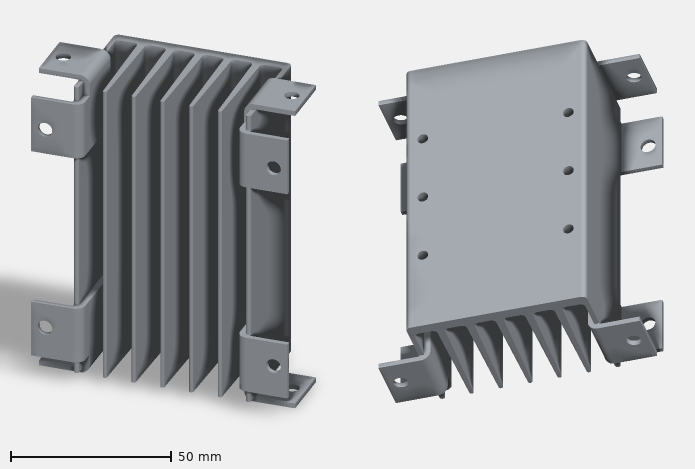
import cadquery as cq

overall_width = 85.3
overall_depth = 40.6
overall_height = 104.6

body_width = 58.9
body_depth = 38.2
body_height = 100.7
plate_thickness = 3.7
back_corner_radius = 1.7
wall_thickness = 1.7
fin_count = 5
fin_span = 38.3
fin_root_thickness = 2.6
fin_tip_thickness = 1.4
channel_radius = 1.6

plate_hole_diameter = 3.5
plate_hole_x = 23.8
plate_hole_pitch = 22.8

tab_thickness = 1.7
tab_width = 18.9
bend_radius = 3.1
bracket_root = 3.8
front_tab_inset = 6.9
end_tab_inset = 7.0
tab_hole_diameter = 4.8
tab_hole_edge = 4.6
front_hole_z = 34.8
end_hole_depth = 23.9

selection_margin = 0.1

fin_pitch = fin_span / (fin_count - 1)
half_width = overall_width / 2
half_height = overall_height / 2
back_y = overall_depth / 2
front_y = -overall_depth / 2
plate_y = back_y - plate_thickness
tip_y = back_y - body_depth
wall_x = body_width / 2
bracket_x = wall_x - bracket_root
front_tab_top = half_height - front_tab_inset
front_tab_bottom = front_tab_top - tab_width
end_tab_front = front_y + end_tab_inset
end_tab_back = end_tab_front + tab_width
end_hole_y = back_y - end_hole_depth


def box_between(corner, opposite):
    """Box spanning two opposite corners."""
    size = [b - a for a, b in zip(corner, opposite)]
    return cq.Workplane("XY").box(*size, centered=False).translate(corner)


def make_rib(root_left, root_right, tip_left, tip_right):
    """Rib running forward from the back plate to a fully rounded tip."""
    tip_radius = (tip_right - tip_left) / 2
    tip_center = (tip_left + tip_right) / 2
    return (
        cq.Workplane("XY", origin=(0, 0, -body_height / 2))
        .moveTo(root_left, plate_y)
        .lineTo(tip_left, tip_y + tip_radius)
        .threePointArc((tip_center, tip_y), (tip_right, tip_y + tip_radius))
        .lineTo(root_right, plate_y)
        .close()
        .extrude(body_height)
    )


def make_fin(x):
    """Inner fin, tapered on both faces."""
    root = fin_root_thickness / 2
    tip = fin_tip_thickness / 2
    return make_rib(x - root, x + root, x - tip, x + tip)


def make_right_wall():
    """Outer wall on the +X side, of constant thickness."""
    return make_rib(wall_x - wall_thickness, wall_x, wall_x - wall_thickness, wall_x)


def make_body():
    """Back plate with side walls, fins and rounded channel corners."""
    body = box_between((-wall_x, plate_y, -body_height / 2), (wall_x, back_y, body_height / 2))
    body = body.faces(">Y").edges("|Z").fillet(back_corner_radius)
    right_wall = make_right_wall()
    body = body.union(right_wall).union(right_wall.mirror("YZ"))
    for index in range(fin_count):
        body = body.union(make_fin(index * fin_pitch - fin_span / 2))

    channel_corners = cq.selectors.BoxSelector(
        (-wall_x + wall_thickness / 2, plate_y - selection_margin, -half_height),
        (wall_x - wall_thickness / 2, plate_y + selection_margin, half_height),
    )
    body = body.edges("|Z").edges(channel_corners).fillet(channel_radius)

    hole_centers = [(x, row * plate_hole_pitch) for x in (-plate_hole_x, plate_hole_x) for row in (-1, 0, 1)]
    holes = (
        cq.Workplane("XZ", origin=(0, back_y, 0))
        .pushPoints(hole_centers)
        .circle(plate_hole_diameter / 2)
        .extrude(plate_thickness)
    )
    return body.cut(holes)


def make_bracket():
    """Bracket for the +X, +Z corner: a web inside the wall, a front tab and an end tab."""
    front_web = box_between(
        (bracket_x, front_y, front_tab_bottom), (wall_x, end_tab_back, front_tab_top)
    )
    front_tab = box_between(
        (bracket_x, front_y, front_tab_bottom), (half_width, front_y + tab_thickness, front_tab_top)
    )
    front_leg = front_web.union(front_tab).edges("|Z and <X and <Y").fillet(bend_radius)
    front_hole = (
        cq.Workplane("XZ", origin=(0, front_y + tab_thickness, 0))
        .center(half_width - tab_hole_edge, front_hole_z)
        .circle(tab_hole_diameter / 2)
        .extrude(tab_thickness)
    )

    end_web = box_between(
        (bracket_x, end_tab_front, front_tab_bottom), (wall_x, end_tab_back, half_height)
    )
    end_tab = box_between(
        (bracket_x, end_tab_front, half_height - tab_thickness), (half_width, end_tab_back, half_height)
    )
    end_leg = end_web.union(end_tab).edges("|Y and <X and >Z").fillet(bend_radius)
    end_hole = (
        cq.Workplane("XY", origin=(0, 0, half_height - tab_thickness))
        .center(half_width - tab_hole_edge, end_hole_y)
        .circle(tab_hole_diameter / 2)
        .extrude(tab_thickness)
    )
    return front_leg.cut(front_hole).union(end_leg.cut(end_hole))


upper_right = make_bracket()
right_pair = upper_right.union(upper_right.mirror("XY"))
brackets = right_pair.union(right_pair.mirror("YZ"))

result = make_body().union(brackets)